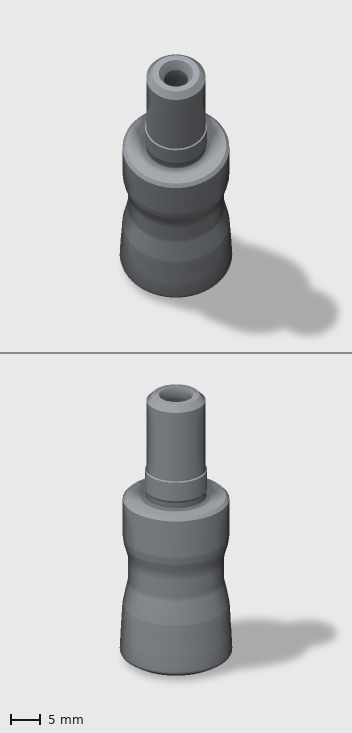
import cadquery as cq
import math

total_height = 49.0

stud_radius = 5.0
stud_tip_chamfer = 1.05
collar_radius = 5.25
collar_top_z = 35.05
collar_bottom_z = 31.55
collar_top_bevel = 0.15
collar_bottom_bevel = 0.45
base_blend_width = 0.6
base_blend_height = 0.35
foot_radius = stud_radius + base_blend_width
foot_bottom_z = 19.6

hole_radius = 2.0
hole_depth = 9.8
hole_tip_half_angle = 59.0
countersink_radius = 2.9
countersink_half_angle = 30.0

handle_top_z = 30.15
shoulder_radius = 8.99
top_chamfer = 0.55
mouth_radius = 6.12
mouth_half_angle = 75.0
shoulder_bottom_z = 22.85
neck_radius = 8.1
neck_top_z = 18.3
neck_bend_height = 1.5
neck_bottom_z = 15.2
flare_start_z = 14.1
flare_start_radius = 8.2
flare_middle_z = 12.25
flare_middle_radius = 8.6
flare_end_z = 10.15
flare_end_radius = 9.0
grip_top_z = 9.1
grip_top_radius = 9.09
grip_edge_z = 8.65
grip_edge_radius = 9.1
grip_bottom_z = 4.4
grip_bottom_radius = 9.35
band_top_z = 3.65
band_top_radius = 9.385
band_edge_z = 3.2
band_edge_radius = 9.4
rim_z = 1.7
rim_radius = 9.48
rim_round_bottom_z = 1.05
rim_round_bottom_radius = 9.15
dome_edge_z = 0.55
dome_edge_radius = 8.45
flat_radius = 6.55


def revolve_about_z(profile):
    """Turn a closed radius/height profile into a solid around the Z axis."""
    return profile.close().revolve(360, (0, 0, 0), (0, 1, 0))


def tip_hole():
    """Drilled hole with a conical end and a countersunk mouth."""
    countersink_depth = (countersink_radius - hole_radius) / math.tan(math.radians(countersink_half_angle))
    cone_height = hole_radius / math.tan(math.radians(hole_tip_half_angle))
    hole_end_z = total_height - hole_depth
    return revolve_about_z(
        cq.Workplane("XZ")
        .moveTo(0, total_height)
        .lineTo(countersink_radius, total_height)
        .lineTo(hole_radius, total_height - countersink_depth)
        .lineTo(hole_radius, hole_end_z)
        .lineTo(0, hole_end_z - cone_height)
    )


mouth_depth = (mouth_radius - foot_radius) / math.tan(math.radians(mouth_half_angle))
foot_top_z = handle_top_z - mouth_depth


def make_stud():
    """Collared stud whose foot fills the bore of the handle."""
    body = revolve_about_z(
        cq.Workplane("XZ")
        .moveTo(0, foot_bottom_z)
        .lineTo(foot_radius, foot_bottom_z)
        .lineTo(foot_radius, foot_top_z)
        .spline(
            [(stud_radius, foot_top_z + base_blend_height)],
            tangents=[(-1, 0), (0, 1)],
            includeCurrent=True,
        )
        .lineTo(stud_radius, collar_bottom_z - collar_bottom_bevel)
        .lineTo(collar_radius, collar_bottom_z)
        .lineTo(collar_radius, collar_top_z)
        .lineTo(stud_radius, collar_top_z + collar_top_bevel)
        .lineTo(stud_radius, total_height - stud_tip_chamfer)
        .lineTo(stud_radius - stud_tip_chamfer, total_height)
        .lineTo(0, total_height)
    )
    return body.cut(tip_hole())


def make_handle():
    """Waisted handle with a domed bottom and a blind bore for the stud."""
    cone_height = shoulder_bottom_z - neck_top_z - 2 * neck_bend_height
    step = shoulder_radius - neck_radius
    half_slope = step / (neck_bend_height + cone_height) / 2
    bend_angle = 2 * math.atan(half_slope)
    bend_step = (step - cone_height * math.tan(bend_angle)) / 2
    return revolve_about_z(
        cq.Workplane("XZ")
        .moveTo(0, 0)
        .lineTo(flat_radius, 0)
        .tangentArcPoint((dome_edge_radius, dome_edge_z), relative=False)
        .lineTo(rim_round_bottom_radius, rim_round_bottom_z)
        .tangentArcPoint((rim_radius, rim_z), relative=False)
        .lineTo(band_edge_radius, band_edge_z)
        .lineTo(band_top_radius, band_top_z)
        .lineTo(grip_bottom_radius, grip_bottom_z)
        .lineTo(grip_edge_radius, grip_edge_z)
        .lineTo(grip_top_radius, grip_top_z)
        .lineTo(flare_end_radius, flare_end_z)
        .threePointArc((flare_middle_radius, flare_middle_z), (flare_start_radius, flare_start_z))
        .tangentArcPoint((neck_radius, neck_bottom_z), relative=False)
        .lineTo(neck_radius, neck_top_z)
        .tangentArcPoint((neck_radius + bend_step, neck_top_z + neck_bend_height), relative=False)
        .lineTo(shoulder_radius - bend_step, shoulder_bottom_z - neck_bend_height)
        .tangentArcPoint((shoulder_radius, shoulder_bottom_z), relative=False)
        .lineTo(shoulder_radius, handle_top_z - top_chamfer)
        .lineTo(shoulder_radius - top_chamfer, handle_top_z)
        .lineTo(mouth_radius, handle_top_z)
        .lineTo(foot_radius, foot_top_z)
        .lineTo(foot_radius, foot_bottom_z)
        .lineTo(0, foot_bottom_z)
    )


stud = make_stud()
handle = make_handle()

result = cq.Compound.makeCompound([stud.val(), handle.val()])